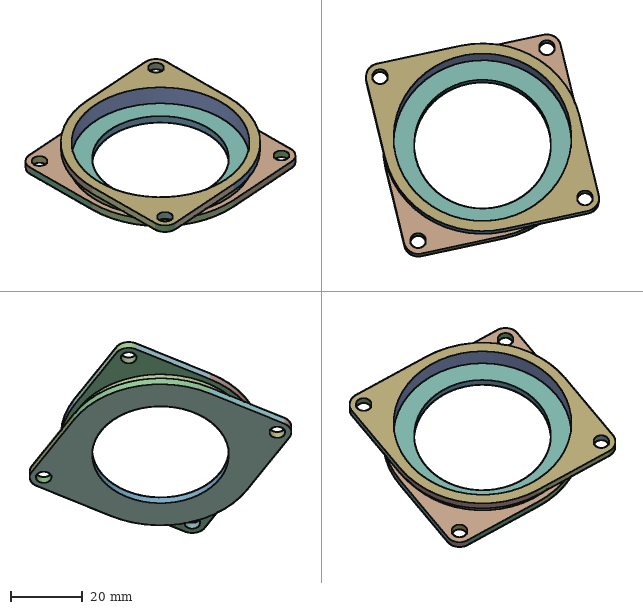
import cadquery as cq

side = 55.45
height = 8.0
flange_thickness = 2.35
corner_radius = 4.0
bolt_offset = 23.8
bolt_diameter = 4.3
neck_diameter = 51.95
recess_diameter = 49.45
opening_diameter = 38.0
floor_thickness = flange_thickness

half_side = side / 2


def flange(base_z, x_sign):
    """Disc with two opposite square corners, at (x_sign, 1) and (-x_sign, -1)."""
    body = cq.Workplane("XY").circle(half_side).extrude(flange_thickness)
    for sign in (1, -1):
        x_dir = sign * x_sign
        corner = (
            cq.Workplane("XY")
            .center(x_dir * half_side / 2, sign * half_side / 2)
            .rect(half_side, half_side)
            .extrude(flange_thickness)
        )
        outer_edge = cq.selectors.NearestToPointSelector(
            (x_dir * half_side, sign * half_side, flange_thickness / 2)
        )
        body = body.union(corner.edges("|Z").edges(outer_edge).fillet(corner_radius))
    bolt_points = [(sign * x_sign * bolt_offset, sign * bolt_offset) for sign in (1, -1)]
    bolts = (
        cq.Workplane("XY")
        .pushPoints(bolt_points)
        .circle(bolt_diameter / 2)
        .extrude(flange_thickness)
    )
    return body.cut(bolts).translate((0, 0, base_z))


bottom_flange = flange(0, 1)
top_flange = flange(height - flange_thickness, -1)
neck = cq.Workplane("XY").circle(neck_diameter / 2).extrude(height)
body = bottom_flange.union(neck).union(top_flange)

recess = (
    cq.Workplane("XY")
    .workplane(offset=floor_thickness)
    .circle(recess_diameter / 2)
    .extrude(height - floor_thickness)
)
opening = cq.Workplane("XY").circle(opening_diameter / 2).extrude(height)
result = body.cut(recess).cut(opening)